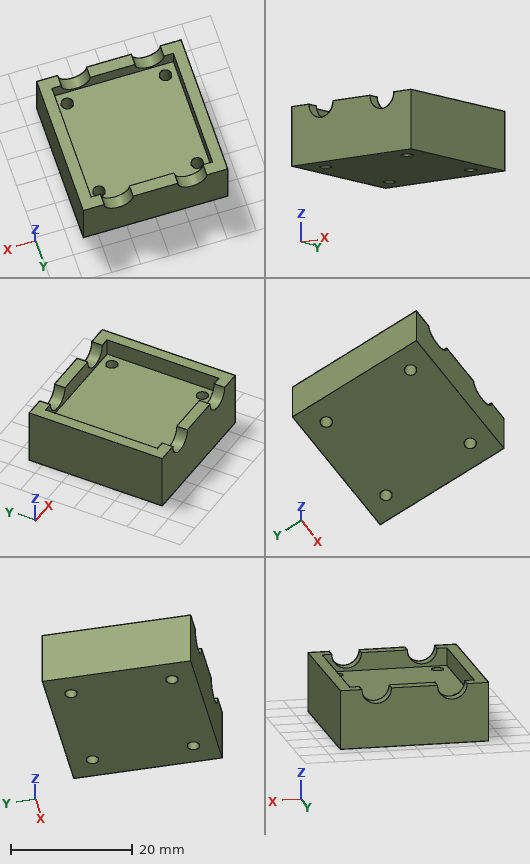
import cadquery as cq

side = 25
height = 10
wall = 2
pocket_depth = 3

hole_diameter = 2
hole_edge_distance = 4

notch_radius = 2.5
notch_spacing = 12.75

block = cq.Workplane("XY").box(side, side, height, centered=(True, True, False))

pocket_side = side - 2 * wall
pocket = (
    cq.Workplane("XY")
    .workplane(offset=height - pocket_depth)
    .rect(pocket_side, pocket_side)
    .extrude(pocket_depth)
)

hole_spacing = side - 2 * hole_edge_distance
holes = (
    cq.Workplane("XY")
    .rect(hole_spacing, hole_spacing, forConstruction=True)
    .vertices()
    .circle(hole_diameter / 2)
    .extrude(height)
)

notches = (
    cq.Workplane("XZ")
    .pushPoints([(-notch_spacing / 2, height), (notch_spacing / 2, height)])
    .circle(notch_radius)
    .extrude(side / 2, both=True)
)

result = block.cut(pocket).cut(holes).cut(notches)